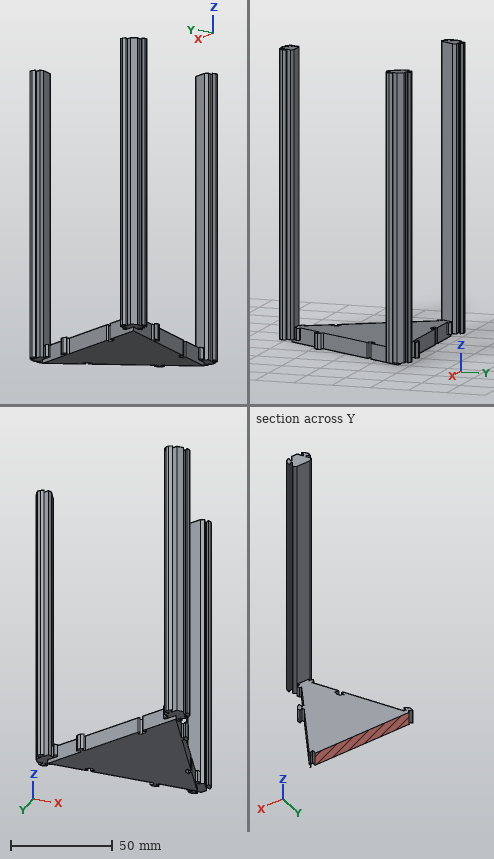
import cadquery as cq
import math

total_height = 148.0
plate_thickness = 8.0
post_bottom_z = 2.0

plate_side = 80.0
edge_distance = plate_side / (2 * math.sqrt(3))
corner_distance = 2 * edge_distance
side_count = 3
side_angle = 360.0 / side_count

joint_offset = 18.0
joint_neck_half_width = 0.7
joint_neck_height = 0.6
joint_head_half_width = 2.45
joint_head_height = 1.7
joint_tip_half_width = 0.87
joint_height = 2.73
joint_root_half_width = 1.6
knob_lift = 0.45

post_side_distance = 27.3
post_side_half_length = 3.9
post_knob_root_half_width = 0.9
post_inner_distance = 43.75
post_inner_half_width = 3.8

anchor_root_half_width = 3.4
anchor_neck_half_width = 2.8
anchor_neck_height = 0.8
anchor_head_half_width = 4.9
anchor_head_height = 1.4
anchor_tip_half_width = 4.3
anchor_height = 3.0


def mirrored_outline(half_points):
    """Close a list of (x, y) points with its mirror image across the Y axis."""
    other_half = [(-x, y) for x, y in reversed(half_points)]
    return cq.Workplane("XY").polyline(half_points + other_half).close()


def joint_outline(root_half_width, lift=0.0):
    """Mushroom profile growing along +Y from its root at the origin."""
    return mirrored_outline([
        (root_half_width, 0),
        (joint_neck_half_width, joint_neck_height + lift),
        (joint_head_half_width, joint_head_height + lift),
        (joint_tip_half_width, joint_height + lift),
    ])


def around_center(shape):
    """Combine the shape with its copies at every third of a turn about Z."""
    combined = shape
    for index in range(1, side_count):
        combined = combined.union(shape.rotate((0, 0, 0), (0, 0, 1), index * side_angle))
    return combined


def make_plate():
    triangle = cq.Workplane("XY").polyline([
        (-plate_side / 2, edge_distance),
        (plate_side / 2, edge_distance),
        (0, -corner_distance),
    ]).close().extrude(plate_thickness)
    knob = joint_outline(joint_root_half_width, knob_lift).extrude(plate_thickness)
    socket = joint_outline(joint_root_half_width).extrude(plate_thickness)
    socket = socket.rotate((0, 0, 0), (0, 0, 1), 180)
    knobs = around_center(knob.translate((joint_offset, edge_distance, 0)))
    sockets = around_center(socket.translate((-joint_offset, edge_distance, 0)))
    return triangle.union(knobs).cut(sockets)


def post_side_point(along, outward):
    """Point on the +X side of the -Y post, from lengths along and normal to the plate edge."""
    tilt = math.radians(side_angle / 2)
    x = outward * math.sin(tilt) - along * math.cos(tilt)
    y = -outward * math.cos(tilt) - along * math.sin(tilt)
    return x, y


def make_post():
    """Post at the -Y corner of the plate."""
    post_height = total_height - post_bottom_z
    side_middle = plate_side / 2
    inner_along = side_middle - post_side_half_length
    outer_along = side_middle + post_side_half_length
    post = mirrored_outline([
        (post_inner_half_width, -post_inner_distance),
        post_side_point(inner_along, post_side_distance),
        post_side_point(outer_along, post_side_distance),
    ]).extrude(post_height)

    side_x, side_y = post_side_point(side_middle, post_side_distance)
    knob = joint_outline(post_knob_root_half_width).extrude(post_height)
    knob = knob.rotate((0, 0, 0), (0, 0, 1), -side_angle).translate((side_x, side_y, 0))
    return post.union(knob).union(knob.mirror("YZ")).translate((0, 0, post_bottom_z))


def make_anchor():
    """Wide knob reaching from the inner flat of the -Y post into the plate."""
    anchor = mirrored_outline([
        (anchor_root_half_width, 0),
        (anchor_neck_half_width, anchor_neck_height),
        (anchor_head_half_width, anchor_head_height),
        (anchor_tip_half_width, anchor_height),
    ]).extrude(plate_thickness - post_bottom_z)
    return anchor.translate((0, -post_inner_distance, post_bottom_z))


result = make_plate().union(around_center(make_post())).union(around_center(make_anchor()))